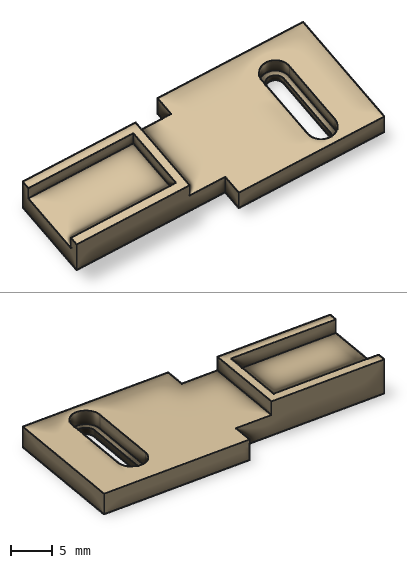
import cadquery as cq

total_length = 43.0
total_height = 5.0

plate_width = 17.7
plate_length = 21.3
plate_thickness = 3.0

tongue_width = 11.8
tongue_length = total_length - plate_length
tray_length = 16.5

side_wall = 1.25
end_wall = 1.15
pocket_width = tongue_width - 2 * side_wall
pocket_length = tray_length - end_wall
pocket_floor = plate_thickness

slot_x = 0.85
slot_setback = 7.22
slot_y = total_length - slot_setback
slot_length = 12.5
slot_width = 2.55
recess_margin = 0.75
recess_length = slot_length + 2 * recess_margin
recess_width = slot_width + 2 * recess_margin
recess_depth = 2.0


def block(width, length, height, start_y, base_z=0):
    """Box centred on X, growing toward +Y and +Z."""
    return cq.Workplane("XY").box(width, length, height, centered=(True, False, False)).translate(
        (0, start_y, base_z)
    )


def slot_cutter(length, width, base_z):
    """Round-ended slot from base_z up to the plate's top face."""
    return (
        cq.Workplane("XY", origin=(slot_x, slot_y, base_z))
        .slot2D(length, width)
        .extrude(plate_thickness - base_z)
    )


body = block(plate_width, plate_length, plate_thickness, tongue_length)
body = body.union(block(tongue_width, tongue_length, plate_thickness, 0))
body = body.union(block(tongue_width, tray_length, total_height, 0))

body = body.cut(block(pocket_width, pocket_length, total_height - pocket_floor, 0, pocket_floor))

body = body.cut(slot_cutter(slot_length, slot_width, 0))
result = body.cut(slot_cutter(recess_length, recess_width, plate_thickness - recess_depth))